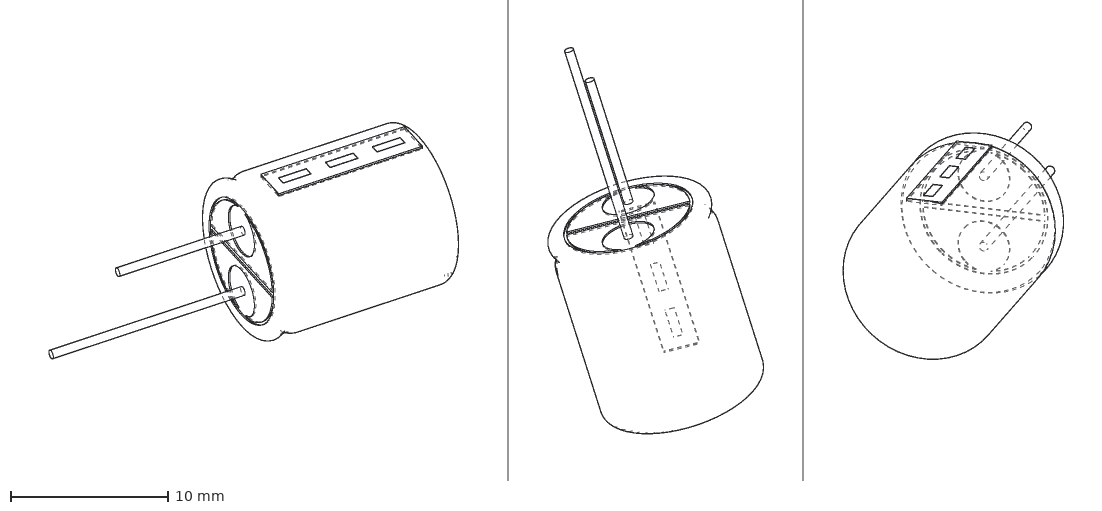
import cadquery as cq

total_length = 26.8
can_length = 13.0
can_radius = 5.4

back_rounding = 0.5
rim_rounding = 0.45
crimp_start = 0.7
crimp_depth = 0.21
crimp_floor_length = 0.4
crimp_arc_length = 0.32

recess_radius = 4.25
recess_depth = 0.1
pad_radius = 4.07
pad_gap = 0.4
lead_clearance_radius = 1.72

lead_radius = 0.3
lead_pitch = 4.8
long_lead_length = total_length - can_length
short_lead_length = 8.98

stripe_width = 2.35
stripe_thickness = 0.21
mark_count = 3
mark_width = 0.62
mark_length = 2.0
mark_pitch = 3.4
mark_depth = 0.03

crimp_mid_radius = can_radius - crimp_depth / 2
crimp_floor_radius = can_radius - crimp_depth
crimp_floor_start = crimp_start + crimp_arc_length
crimp_floor_end = crimp_floor_start + crimp_floor_length
crimp_end = crimp_floor_end + 2 * crimp_arc_length
stripe_start = crimp_end
stripe_end = can_length - back_rounding
stripe_length = stripe_end - stripe_start
stripe_middle = (stripe_start + stripe_end) / 2


def y_cylinder(radius, y_start, y_end, z=0.0):
    """Cylinder along Y between two Y positions."""
    return (
        cq.Workplane("XZ", origin=(0, y_start, z))
        .circle(radius)
        .extrude(y_start - y_end)
    )


def box_below(width, length, depth, y_middle, z_top):
    """Box centred on X = 0 with its top face at z_top."""
    return cq.Workplane("XY").box(width, length, depth).translate((0, y_middle, z_top - depth / 2))


def make_can_shell():
    """Solid of revolution with rounded ends; S-shaped flanks lead into the crimp floor."""
    return (
        cq.Workplane("XY")
        .lineTo(0, can_length)
        .lineTo(can_radius - back_rounding, can_length)
        .tangentArcPoint((can_radius, can_length - back_rounding), relative=False)
        .lineTo(can_radius, crimp_end)
        .tangentArcPoint((crimp_mid_radius, crimp_end - crimp_arc_length), relative=False)
        .tangentArcPoint((crimp_floor_radius, crimp_floor_end), relative=False)
        .lineTo(crimp_floor_radius, crimp_floor_start)
        .tangentArcPoint((crimp_mid_radius, crimp_start), relative=False)
        .tangentArcPoint((can_radius, rim_rounding), relative=False)
        .tangentArcPoint((can_radius - rim_rounding, 0), relative=False)
        .close()
        .revolve(360, (0, 0, 0), (0, 1, 0))
    )


def make_pads():
    """Two half-round pads, level with the rim, cut away around each lead."""
    pads = y_cylinder(pad_radius, 0, recess_depth)
    gap = cq.Workplane("XY").box(2 * recess_radius, 2 * recess_depth, pad_gap)
    pads = pads.cut(gap)
    for side in (1, -1):
        pads = pads.cut(y_cylinder(lead_clearance_radius, 0, recess_depth, side * lead_pitch / 2))
    return pads


def make_can():
    """Can with its sealed end, its two leads and the pocket for the stripe."""
    can = make_can_shell().cut(y_cylinder(recess_radius, 0, recess_depth)).union(make_pads())
    for side, length in ((1, short_lead_length), (-1, long_lead_length)):
        can = can.union(y_cylinder(lead_radius, -length, recess_depth, side * lead_pitch / 2))
    return can.cut(box_below(stripe_width, stripe_length, stripe_thickness, stripe_middle, can_radius))


def make_stripe():
    """Flat plate with a row of shallow minus marks."""
    stripe = box_below(stripe_width, stripe_length, stripe_thickness, stripe_middle, can_radius)
    for index in range(mark_count):
        mark_y = stripe_middle + (index - (mark_count - 1) / 2) * mark_pitch
        stripe = stripe.cut(box_below(mark_width, mark_length, mark_depth, mark_y, can_radius))
    return stripe


can = make_can()
polarity_stripe = make_stripe()

result = cq.Compound.makeCompound([can.solids().val(), polarity_stripe.solids().val()])